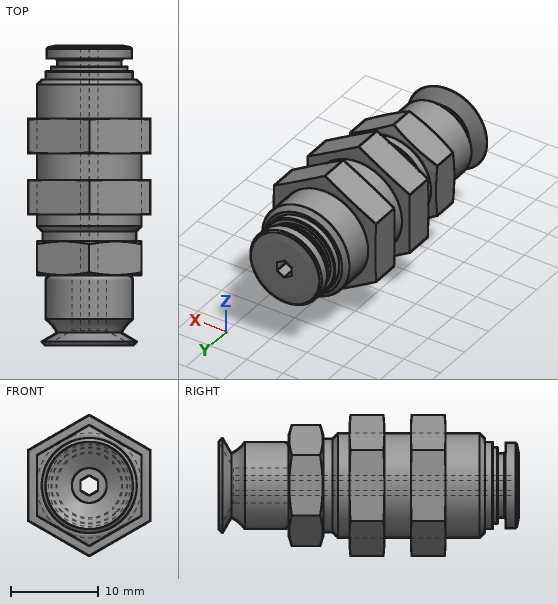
import cadquery as cq
import math


TOTAL_LENGTH = 34.4

HEX_LENGTH = 4.0
NUT_FLATS = 14.0
NUT_CHAMFER_DIAMETER = 13.85
NUT_CHAMFER_DEPTH = 0.1
NUT_STARTS = (15.0, 22.0)
BODY_HEX_FLATS = 12.0
BODY_HEX_CHAMFER_DIAMETER = 11.5
BODY_HEX_CHAMFER_DEPTH = 0.38
BODY_HEX_START = 8.0
BODY_HEX_END = BODY_HEX_START + HEX_LENGTH

BARREL_DIAMETER = 12.0
NECK_DIAMETER = 10.75
BARREL_START = 13.07
BARREL_END = 30.5
BARREL_CHAMFER = (BARREL_DIAMETER - NECK_DIAMETER) / 2

SLEEVE_DIAMETER = 10.0
SLEEVE_END = 31.45
GUIDE_DIAMETER = 8.8
GUIDE_END = 32.0
RING_CHAMFER = 0.1
COLLAR_NECK_DIAMETER = 7.4
COLLAR_DIAMETER = 9.8
COLLAR_START = 32.9
COLLAR_FLARE_HEIGHT = 0.2
COLLAR_FLARE_WIDTH = 0.15
COLLAR_EDGE_SIZE = 0.2
COLLAR_CROWN = 0.2

STEM_DIAMETER = 4.0
STEM_END = 1.72
PASSAGE_FLATS = 2.0

CUP_DIAMETER = 10.0
CUP_EDGE_RADIUS = 0.5
CUP_SHOULDER = 3.03
WAIST_DIAMETER = 7.4
WAIST_POSITION = 1.48
WAIST_ARC_RADIUS = 4.13
LIP_DIAMETER = 10.9
LIP_POSITION = 0.45
LIP_MOUTH_DIAMETER = 10.0


def hex_prism(flats, start, length):
    """Hexagonal prism along +Y with its corners pointing along Z."""
    corner_diameter = flats / math.cos(math.pi / 6)
    return (
        cq.Workplane("XZ", origin=(0, start, 0))
        .transformed(rotate=(0, 0, 90))
        .polygon(6, corner_diameter)
        .extrude(-length)
    )


def revolve_about_y(profile):
    """Turn a closed radius-position profile about the Y axis."""
    return profile.close().revolve(360, (0, 0, 0), (0, 1, 0))


def chamfered_hex(flats, start, face_diameter, chamfer_depth):
    """Hexagonal prism with conical chamfers on the corners of both ends."""
    corner_radius = flats / 2 / math.cos(math.pi / 6)
    end = start + HEX_LENGTH
    envelope = revolve_about_y(
        cq.Workplane("XY")
        .moveTo(0, start)
        .lineTo(face_diameter / 2, start)
        .lineTo(corner_radius, start + chamfer_depth)
        .lineTo(corner_radius, end - chamfer_depth)
        .lineTo(face_diameter / 2, end)
        .lineTo(0, end)
    )
    return hex_prism(flats, start, HEX_LENGTH).intersect(envelope)


def cylinder(diameter, start, end):
    """Plain cylinder along Y."""
    return cq.Workplane("XZ", origin=(0, start, 0)).circle(diameter / 2).extrude(start - end)


def make_collar():
    """Release collar: flared neck under a flange with a crowned end."""
    neck_radius = COLLAR_NECK_DIAMETER / 2
    flange_radius = COLLAR_DIAMETER / 2
    crown_start = TOTAL_LENGTH - COLLAR_CROWN
    return revolve_about_y(
        cq.Workplane("XY")
        .moveTo(0, GUIDE_END)
        .lineTo(neck_radius, GUIDE_END)
        .lineTo(neck_radius, COLLAR_START - COLLAR_FLARE_HEIGHT)
        .lineTo(neck_radius + COLLAR_FLARE_WIDTH, COLLAR_START)
        .lineTo(flange_radius, COLLAR_START)
        .lineTo(flange_radius, crown_start - COLLAR_EDGE_SIZE)
        .lineTo(flange_radius - COLLAR_EDGE_SIZE, crown_start)
        .lineTo(neck_radius, TOTAL_LENGTH)
        .lineTo(0, TOTAL_LENGTH)
    )


def make_body():
    """Stem, hexagon, neck, barrel and tube end, with a passage right through."""
    stem = cylinder(STEM_DIAMETER, STEM_END, BODY_HEX_START)
    hexagon = chamfered_hex(
        BODY_HEX_FLATS, BODY_HEX_START, BODY_HEX_CHAMFER_DIAMETER, BODY_HEX_CHAMFER_DEPTH
    )
    neck = cylinder(NECK_DIAMETER, BODY_HEX_END, BARREL_START)
    barrel = cylinder(BARREL_DIAMETER, BARREL_START, BARREL_END).faces("<Y or >Y").chamfer(BARREL_CHAMFER)
    sleeve = cylinder(SLEEVE_DIAMETER, BARREL_END, SLEEVE_END).faces(">Y").chamfer(RING_CHAMFER)
    guide = cylinder(GUIDE_DIAMETER, SLEEVE_END, GUIDE_END).faces(">Y").chamfer(RING_CHAMFER)
    solid = stem
    for section in (hexagon, neck, barrel, sleeve, guide, make_collar()):
        solid = solid.union(section)
    return solid.cut(hex_prism(PASSAGE_FLATS, STEM_END, TOTAL_LENGTH - STEM_END))


def make_cup():
    """Suction cup: round holder, curved waist and flared lip around the stem."""
    cup_radius = CUP_DIAMETER / 2
    stem_radius = STEM_DIAMETER / 2
    cup = revolve_about_y(
        cq.Workplane("XY")
        .moveTo(stem_radius, BODY_HEX_START)
        .lineTo(cup_radius - CUP_EDGE_RADIUS, BODY_HEX_START)
        .radiusArc((cup_radius, BODY_HEX_START - CUP_EDGE_RADIUS), CUP_EDGE_RADIUS)
        .lineTo(cup_radius, CUP_SHOULDER)
        .radiusArc((WAIST_DIAMETER / 2, WAIST_POSITION), -WAIST_ARC_RADIUS)
        .lineTo(LIP_DIAMETER / 2, LIP_POSITION)
        .lineTo(LIP_MOUTH_DIAMETER / 2, 0)
        .lineTo(stem_radius, STEM_END)
    )
    return cup


def make_nut(start):
    """Bulkhead nut with a bore that fits the barrel."""
    blank = chamfered_hex(NUT_FLATS, start, NUT_CHAMFER_DIAMETER, NUT_CHAMFER_DEPTH)
    return blank.cut(cylinder(BARREL_DIAMETER, start, start + HEX_LENGTH))


body = make_body()
cup = make_cup()
nuts = [make_nut(start) for start in NUT_STARTS]

result = cq.Compound.makeCompound([body.val(), cup.val(), *[nut.val() for nut in nuts]])